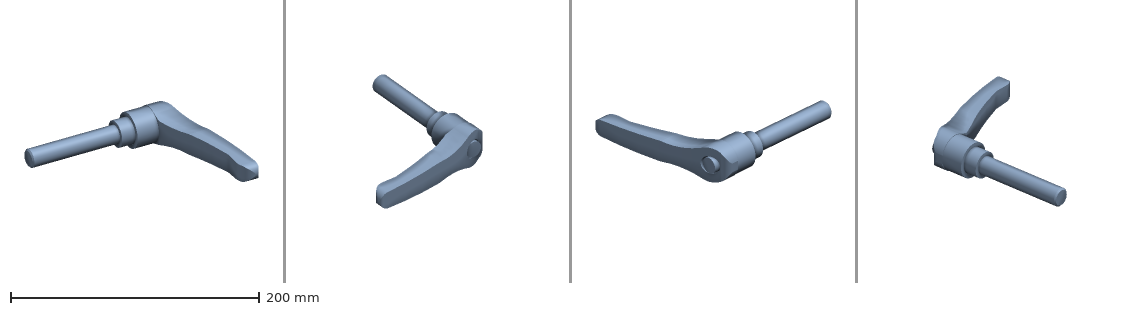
import cadquery as cq
import math


HUB_DIAMETER = 31.0
HUB_LENGTH = 19.5
BUSHING_DIAMETER = 23.0
BUSHING_BORE_DIAMETER = 23.7
BUSHING_BORE_DEPTH = 3.0
BUSHING_END = -31.6
STUD_DIAMETER = 16.0
STUD_CHAMFER = 1.2
TOTAL_LENGTH = 152.6
SCREW_HEAD_DIAMETER = 14.3
SCREW_HEAD_TOP = 17.4
SCREW_BORE_DIAMETER = 16.0
SCREW_BORE_FLOOR = 4.6

LEVER_LENGTH = 125.5
LEVER_TOP = 40.9
LEVER_HEAD_RADIUS = 16.0
HUB_RADIUS = HUB_DIAMETER / 2
LEVER_TIP_X = LEVER_LENGTH - HUB_RADIUS
STUD_END = LEVER_TOP - TOTAL_LENGTH

NECK_X = 7.6
NECK_HALF_WIDTH = math.sqrt(LEVER_HEAD_RADIUS**2 - NECK_X**2)
WAIST = (24.4, 9.5)
GRIP_START = (42.7, 9.6)
GRIP_FLAT_END = (45.2, 9.6)
GRIP_MIDDLE = (70.2, 8.9)
TIP_START = (102.7, 7.6)

REAR_ROUND_START = 5.6
REAR_ROUND_END = (-8.4, 12.5)
BACK_MIDDLE = (43.7, 30.5)
BACK_END = (TIP_START[0], LEVER_TOP)
TIP_FLAT_END = (107.5, LEVER_TOP)
TIP_NOSE = (LEVER_TIP_X, 37.2)
TIP_UNDERSIDE_MIDDLE = (108.2, 32.4)
TIP_UNDERSIDE_START = (103.2, 27.6)
BELLY_ROUND_END = (102.1, 27.2)
BELLY_LEVEL = 26.1
BELLY_FLAT_END = (96.8, BELLY_LEVEL)
BELLY_FLAT_START = (86.1, BELLY_LEVEL)
BELLY_ARC_END = (83.3, 25.8)
BELLY_ARC_MIDDLE = (50.4, 15.5)
BELLY_ARC_START = (19.5, 2.1)


def cylinder(diameter, bottom, top):
    """Cylinder on the clamping axis between two Y levels."""
    plane = cq.Workplane("XZ", origin=(0, bottom, 0))
    return plane.circle(diameter / 2).extrude(bottom - top)


def lever_side():
    """Side profile, extruded to the full width of the lever head."""
    return (
        cq.Workplane("XY")
        .moveTo(-HUB_RADIUS, 0)
        .lineTo(-HUB_RADIUS, REAR_ROUND_START)
        .tangentArcPoint(REAR_ROUND_END, relative=False)
        .threePointArc(BACK_MIDDLE, BACK_END)
        .lineTo(*TIP_FLAT_END)
        .tangentArcPoint(TIP_NOSE, relative=False)
        .threePointArc(TIP_UNDERSIDE_MIDDLE, TIP_UNDERSIDE_START)
        .lineTo(*BELLY_ROUND_END)
        .tangentArcPoint(BELLY_FLAT_END, relative=False)
        .lineTo(*BELLY_FLAT_START)
        .tangentArcPoint(BELLY_ARC_END, relative=False)
        .threePointArc(BELLY_ARC_MIDDLE, BELLY_ARC_START)
        .lineTo(HUB_RADIUS, 0)
        .close()
        .extrude(LEVER_HEAD_RADIUS, both=True)
    )


def lever_plan():
    """Width outline: round head, waisted neck, bulging grip and round tip."""

    def mirrored(point):
        return point[0], -point[1]

    neck = (NECK_X, NECK_HALF_WIDTH)
    outline = (
        cq.Workplane("XZ")
        .moveTo(*neck)
        .threePointArc(WAIST, GRIP_START)
        .lineTo(*GRIP_FLAT_END)
        .threePointArc(GRIP_MIDDLE, TIP_START)
        .threePointArc((LEVER_TIP_X, 0), mirrored(TIP_START))
        .threePointArc(mirrored(GRIP_MIDDLE), mirrored(GRIP_FLAT_END))
        .lineTo(*mirrored(GRIP_START))
        .threePointArc(mirrored(WAIST), mirrored(neck))
        .threePointArc((-LEVER_HEAD_RADIUS, 0), neck)
        .close()
    )
    return outline.extrude(-LEVER_TOP)


def lever_with_hub():
    """Lever arm on its hub, bored for the screw head and the bushing."""
    body = lever_side().intersect(lever_plan())
    body = body.union(cylinder(HUB_DIAMETER, -HUB_LENGTH, 0))
    body = body.cut(cylinder(SCREW_BORE_DIAMETER, SCREW_BORE_FLOOR, LEVER_TOP))
    bore_floor = BUSHING_BORE_DEPTH - HUB_LENGTH
    return body.cut(cylinder(BUSHING_BORE_DIAMETER, -HUB_LENGTH, bore_floor))


def stud_assembly():
    """Chamfered stud, bushing and screw head on the clamping axis."""
    stud = cylinder(STUD_DIAMETER, STUD_END, 0).faces("<Y").chamfer(STUD_CHAMFER)
    bushing = cylinder(BUSHING_DIAMETER, BUSHING_END, 0)
    screw_head = cylinder(SCREW_HEAD_DIAMETER, 0, SCREW_HEAD_TOP)
    return stud.union(bushing).union(screw_head)


result = lever_with_hub().union(stud_assembly())